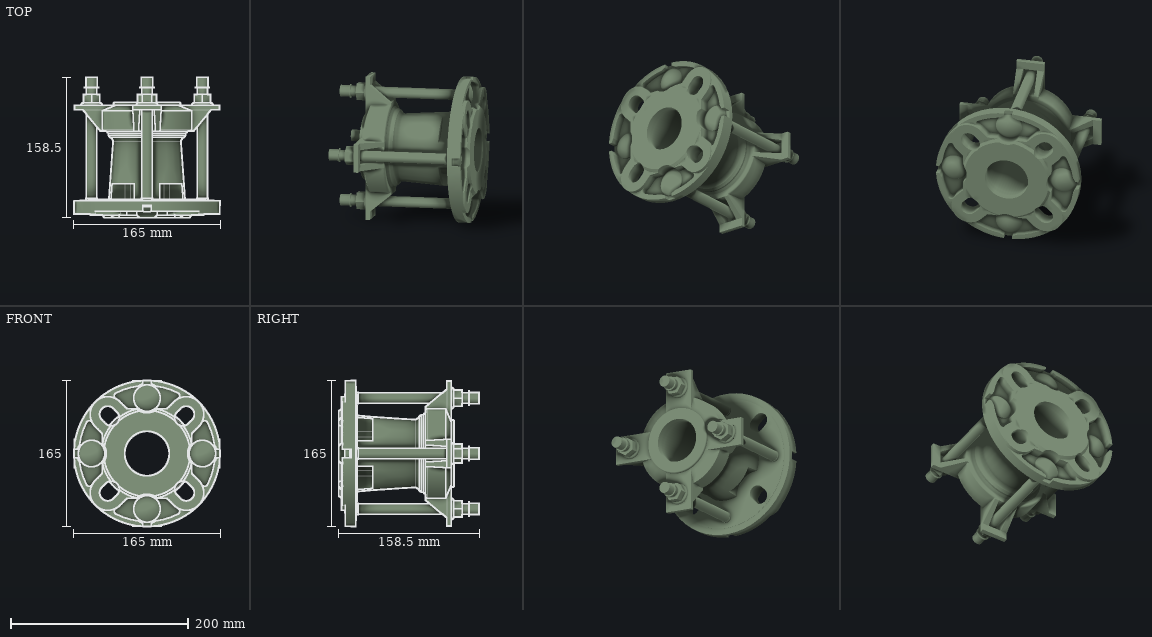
import cadquery as cq
import math


bore_radius = 50.0 / 2
flange_radius = 82.5
flange_back = 19.3
rim_front_sides = 4.1
rim_front_ends = 7.3
boss_face = 3.0
raised_face_radius = 51.5
raised_face_chamfer = 2.8
back_cone_outer = 75.2
back_cone_start = 19.6
back_cone_inner = 51.0
back_end = 20.8

slot_width = 18.0
slot_inner_radius = 57.0
slot_outer_radius = 62.7
boss_radius = flange_radius - slot_outer_radius

pocket_floor = 14.2
pocket_radius = 76.7
hub_half_width = 50.7
pocket_fillet = 3.6
scallop_radius = 16.7
notch_width = 9.4
notch_fillet = 1.5

neck_radius = 38.5
neck_start = 86.1
spigot_base_radius = 43.0
lip_radius = 88.0 / 2
flare_end = 90.6
flare_radius = 41.9
flare_arc_radius = 5.3
lip_start = 93.4
lip_end = 95.4
shoulder_radius = 46.4

relief_end = 38.5
relief_radius = 26.0
relief_core_radius = 31.5

ring_radius = 52.8
ring_start = 97.8
ring_fillet = 2.1
ring_cone_start = 120.8
ring_cone_radius = 38.8
collar_radius = 76.0 / 2
collar_end = 130.4
collar_fillet = 1.6

arm_start = 121.8
arm_end = 127.0
arm_length = 81.8
arm_width = 32.0
web_root = 41.2
web_top_reach = 72.5
web_top_inner = 8.1
web_bottom_inner = 9.5
web_bottom_outer = 14.7

bolt_circle_radius = 62.5
head_radius = 15.0
head_height = 7.6
head_edge = 1.5
rod_radius = 12.0 / 2
thread_radius = 13.0 / 2
bolt_collar_end = 22.3
washer_radius = 24.0 / 2
washer_fillet = 2.3
washer_end = 129.7
nut_end = 139.3
nut_across_flats = 18.6
disc_radius = 16.0 / 2
disc_start = 146.5
disc_thickness = 0.8
bolt_end = 158.5

QUARTER_TURNS = (0, 90, 180, 270)


def plane_at(y):
    """Workplane across the axis: local x is X, local y is Z; negative extrusion runs to +Y."""
    return cq.Workplane("XZ", origin=(0, y, 0))


def disc(radius, start, end, x=0.0, z=0.0):
    return plane_at(start).center(x, z).circle(radius).extrude(start - end)


def box(x_range, y_range, z_range):
    """Box between two limits along each axis."""
    sizes = [high - low for low, high in (x_range, y_range, z_range)]
    corner = (x_range[0], y_range[0], z_range[0])
    return cq.Workplane("XY").box(*sizes, centered=False).translate(corner)


def turned(profile):
    """Revolve an (r, y) outline about the part axis."""
    return profile.close().revolve(360, (0, 0, 0), (0, 1, 0))


def around(shape):
    """Four copies, a quarter turn apart about the axis."""
    copies = shape
    for angle in QUARTER_TURNS[1:]:
        copies = copies.union(shape.rotate((0, 0, 0), (0, 1, 0), angle))
    return copies


def diagonal_stadium(width, inner, outer, start, end):
    """Stadium bar on the +X +Z diagonal with arc centres at two distances from the axis."""
    return (
        plane_at(start)
        .transformed(rotate=(0, 0, 45))
        .center((inner + outer) / 2, 0)
        .slot2D(outer - inner + width, width)
        .extrude(start - end)
    )


def boss_block(start, end):
    """Rounded slot boss that runs from the axis out to the rim."""
    return diagonal_stadium(2 * boss_radius, 0, slot_outer_radius, start, end)


def hub_block(start, end):
    """Square block around the bore; its flats are the inner walls of the head pockets."""
    sides = (-hub_half_width, hub_half_width)
    return box(sides, (start, end), sides)


def flange_plate():
    """Flange with slot bosses, raised face and coned back, still without pockets and slots."""
    plate = disc(flange_radius, rim_front_sides, flange_back)
    reach = 2 * flange_radius
    quarter = (
        plane_at(rim_front_sides)
        .polyline([(0, 0), (reach, reach), (-reach, reach)])
        .close()
        .extrude(rim_front_sides - rim_front_ends)
    )
    plate = plate.cut(quarter).cut(quarter.mirror("XY"))
    back = turned(
        cq.Workplane("XY")
        .moveTo(0, pocket_floor)
        .lineTo(back_cone_outer, pocket_floor)
        .lineTo(back_cone_outer, back_cone_start)
        .lineTo(back_cone_inner, back_end)
        .lineTo(0, back_end)
    )
    plate = plate.union(back)
    boss = boss_block(boss_face, flange_back)
    hub = hub_block(boss_face, flange_back).intersect(disc(slot_outer_radius, boss_face, flange_back))
    raised_face = disc(raised_face_radius, 0, flange_back).faces("<Y").chamfer(raised_face_chamfer)
    return plate.union(around(boss)).union(hub).union(raised_face)


def head_pocket():
    """Pocket around the bolt head on +X, with its scallop and its notch through the rim."""
    quarter = (
        plane_at(0)
        .polyline([(0, 0), (flange_radius, flange_radius), (flange_radius, -flange_radius)])
        .close()
        .extrude(-pocket_floor)
    )
    pocket = disc(pocket_radius, 0, pocket_floor).intersect(quarter)
    pocket = pocket.cut(hub_block(0, pocket_floor))
    boss = boss_block(0, pocket_floor)
    pocket = pocket.cut(boss).cut(boss.mirror("XY"))
    pocket = pocket.edges("|Y").fillet(pocket_fillet)
    notch = box(
        (bolt_circle_radius, 2 * flange_radius),
        (0, pocket_floor),
        (-notch_width / 2, notch_width / 2),
    )
    scallop = disc(scallop_radius, 0, pocket_floor, bolt_circle_radius)
    pocket = pocket.union(scallop).union(notch)
    mouth = cq.selectors.BoxSelector(
        (pocket_radius, 0, -notch_width), (flange_radius, pocket_floor, notch_width)
    )
    return pocket.edges("|Y").edges(mouth).fillet(notch_fillet)


def spigot():
    """Tapered tube, flared lip and the socket end inside the clamping ring."""
    return turned(
        cq.Workplane("XY")
        .moveTo(0, pocket_floor)
        .lineTo(spigot_base_radius, pocket_floor)
        .lineTo(spigot_base_radius, back_end)
        .lineTo(neck_radius, neck_start)
        .radiusArc((flare_radius, flare_end), flare_arc_radius)
        .lineTo(lip_radius, lip_start)
        .lineTo(lip_radius, lip_end)
        .lineTo(shoulder_radius, ring_start)
        .lineTo(0, ring_start)
    )


def wrench_relief():
    """Round hollow behind the slot on the +X +Z diagonal, stopping at the wall around the bore."""
    offset = slot_inner_radius * math.sqrt(0.5)
    hollow = disc(relief_radius, back_end, relief_end, offset, offset)
    return hollow.cut(disc(relief_core_radius, back_end, relief_end))


def clamping_ring():
    """Ring with a coned back and the collar that stands out of it."""
    ring = turned(
        cq.Workplane("XY")
        .moveTo(0, ring_start)
        .lineTo(ring_radius, ring_start)
        .lineTo(ring_radius, ring_cone_start)
        .lineTo(ring_cone_radius, arm_end)
        .lineTo(0, arm_end)
    )
    ring = ring.faces("<Y").edges().fillet(ring_fillet)
    collar = disc(collar_radius, ring_start, collar_end).faces(">Y").edges().fillet(collar_fillet)
    return ring.union(collar)


def web():
    """Tapered web under one edge of the +X arm."""
    half_width = arm_width / 2

    def section(y, reach, inner, outer):
        points = [(web_root, inner), (reach, inner), (reach, outer), (web_root, outer)]
        corners = [cq.Vector(x, y, z) for x, z in points]
        return cq.Wire.makePolygon(corners, close=True)

    bottom = section(ring_start, ring_radius, web_bottom_inner, web_bottom_outer)
    top = section(arm_start, web_top_reach, web_top_inner, half_width)
    return cq.Workplane("XY").newObject([cq.Solid.makeLoft([bottom, top], True)])


def arm():
    """Arm on +X: a plate with an opening for the bolt, carried by two webs."""
    plate = box((0, arm_length), (arm_start, arm_end), (-arm_width / 2, arm_width / 2))
    bolt_opening = box(
        (ring_radius, web_top_reach), (arm_start, arm_end), (-web_top_inner, web_top_inner)
    )
    back_wall = box(
        (web_root, ring_radius), (ring_start, arm_start), (-web_bottom_outer, web_bottom_outer)
    )
    one_web = web()
    webs = one_web.union(one_web.mirror("XY"))
    return plate.cut(bolt_opening).union(back_wall).union(webs)


def bolt():
    """Round-headed bolt on +X with collar, washer, nut and the disc on its thread."""
    dome_height = head_height - head_edge
    sphere_radius = (head_radius**2 + dome_height**2) / (2 * dome_height)
    mid_radius = head_radius / 2
    dome_top = pocket_floor - head_height
    mid_depth = sphere_radius - math.sqrt(sphere_radius**2 - mid_radius**2)
    head = turned(
        cq.Workplane("XY")
        .moveTo(0, pocket_floor)
        .lineTo(head_radius, pocket_floor)
        .lineTo(head_radius, pocket_floor - head_edge)
        .threePointArc((mid_radius, dome_top + mid_depth), (0, dome_top))
    )
    nut = (
        plane_at(washer_end)
        .polygon(6, nut_across_flats, circumscribed=True)
        .extrude(washer_end - nut_end)
    )
    washer = disc(washer_radius, arm_end, washer_end).faces(">Y").edges().fillet(washer_fillet)
    shape = head.union(disc(rod_radius, pocket_floor, bolt_end))
    shape = shape.union(disc(thread_radius, flange_back, bolt_collar_end))
    shape = shape.union(washer).union(nut)
    shape = shape.union(disc(disc_radius, disc_start, disc_start + disc_thickness))
    shape = shape.union(disc(thread_radius, disc_start, bolt_end))
    return shape.translate((bolt_circle_radius, 0, 0))


slot = diagonal_stadium(slot_width, slot_inner_radius, slot_outer_radius, 0, back_end)
bore = disc(bore_radius, 0, collar_end)

casting = flange_plate().cut(around(head_pocket())).cut(around(slot))
casting = casting.union(spigot().cut(around(wrench_relief())))
casting = casting.union(clamping_ring()).union(around(arm())).cut(bore)

result = casting.union(around(bolt()))